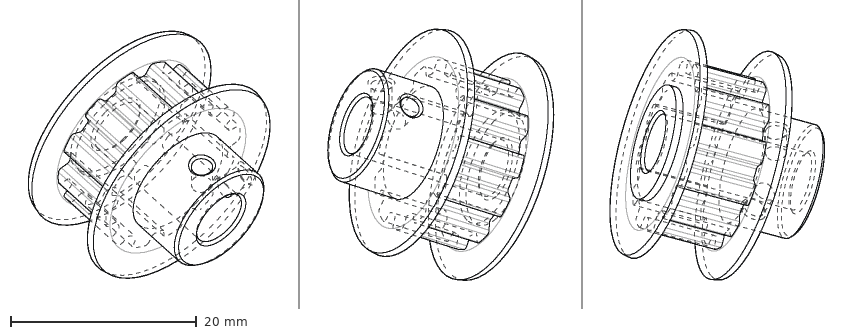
import cadquery as cq
import math

total_length = 17.48
hub_radius = 6.35
hub_end_chamfer = 0.33
bore_radius = 3.18
bore_chamfer = 0.33

tooth_count = 12
rim_start = 1.63
rim_width = 7.9
rim_end = rim_start + rim_width
tip_radius = 9.5
root_radius = 8.03
groove_floor_width = 1.47
flank_angle = 20.0
root_fillet = 0.38
tip_fillet = 0.45
tooth_pitch_angle = 360.0 / tooth_count

flange_radius = 12.7
flange_thickness = 0.81
flange_bend_radius = 9.7
flange_angle = math.radians(12.0)

screw_hole_x = 14.33
screw_hole_radius = 1.15
screw_hole_chamfer = 0.3


def x_cylinder(radius, start, end):
    return cq.Workplane("YZ").workplane(offset=start).circle(radius).extrude(end - start)


def make_toothed_rim():
    """Cylinder with trapezoidal belt grooves; a tooth is centred on each Y and Z axis."""
    blank = x_cylinder(tip_radius, rim_start, rim_end)
    mouth_radius = tip_radius + root_fillet
    half_floor = groove_floor_width / 2
    half_mouth = half_floor + (mouth_radius - root_radius) * math.tan(math.radians(flank_angle))
    groove = (
        cq.Workplane("YZ")
        .workplane(offset=rim_start)
        .polyline([
            (root_radius, -half_floor),
            (mouth_radius, -half_mouth),
            (mouth_radius, half_mouth),
            (root_radius, half_floor),
        ])
        .close()
        .extrude(rim_width)
    )
    for index in range(tooth_count):
        angle = (index + 0.5) * tooth_pitch_angle
        blank = blank.cut(groove.rotate((0, 0, 0), (1, 0, 0), angle))

    middle_radius = (root_radius + tip_radius) / 2

    def edges_along_rim(at_tip):
        found = []
        for edge in blank.edges("|X").vals():
            centre = edge.Center()
            if (math.hypot(centre.y, centre.z) > middle_radius) == at_tip:
                found.append(edge)
        return found

    blank = blank.newObject(edges_along_rim(False)).fillet(root_fillet)
    blank = blank.newObject(edges_along_rim(True)).fillet(tip_fillet)
    return blank


def make_flange(inner_face_x, outward):
    """Bent sheet ring; outward is -1 or +1, the X direction away from the teeth."""
    lean = (flange_radius - flange_bend_radius) * math.tan(flange_angle)
    outer_bend_radius = flange_bend_radius - flange_thickness * math.tan(flange_angle / 2)
    profile = [
        (0, 0),
        (0, flange_bend_radius),
        (lean, flange_radius),
        (
            lean + flange_thickness * math.cos(flange_angle),
            flange_radius - flange_thickness * math.sin(flange_angle),
        ),
        (flange_thickness, outer_bend_radius),
        (flange_thickness, 0),
    ]
    points = [(inner_face_x + outward * depth, radius) for depth, radius in profile]
    return cq.Workplane("XY").polyline(points).close().revolve(360, (0, 0, 0), (1, 0, 0))


def make_hub():
    """Central body with the bore and the two set screw holes."""
    hub = x_cylinder(hub_radius, 0, total_length).rotate((0, 0, 0), (1, 0, 0), 180)
    hub = hub.faces(">X").edges().chamfer(hub_end_chamfer)
    hub = hub.cut(x_cylinder(bore_radius, 0, total_length))
    bore_rims = cq.selectors.RadiusNthSelector(0)
    hub = hub.faces("<X or >X").edges(bore_rims).chamfer(bore_chamfer)

    hole_from_top = (
        cq.Workplane("XY")
        .center(screw_hole_x, 0)
        .circle(screw_hole_radius)
        .extrude(hub_radius)
    )
    hole_from_side = hole_from_top.rotate((0, 0, 0), (1, 0, 0), -90)
    hub = hub.cut(hole_from_top).cut(hole_from_side)

    reach = screw_hole_radius + screw_hole_chamfer
    mouth_centres = [(0, hub_radius), (hub_radius, 0)]
    for y, z in mouth_centres:
        near = (screw_hole_x - reach, y - reach, z - reach)
        far = (screw_hole_x + reach, y + reach, z + reach)
        hub = hub.edges(cq.selectors.BoxSelector(near, far)).chamfer(screw_hole_chamfer)
    return hub


hub_space = x_cylinder(hub_radius, rim_start - flange_thickness, rim_end + flange_thickness)
rim = make_toothed_rim()
left_flange = make_flange(rim_start, -1)
right_flange = make_flange(rim_end, 1)
sleeve = rim.union(left_flange).union(right_flange).cut(hub_space)
result = sleeve.union(make_hub())